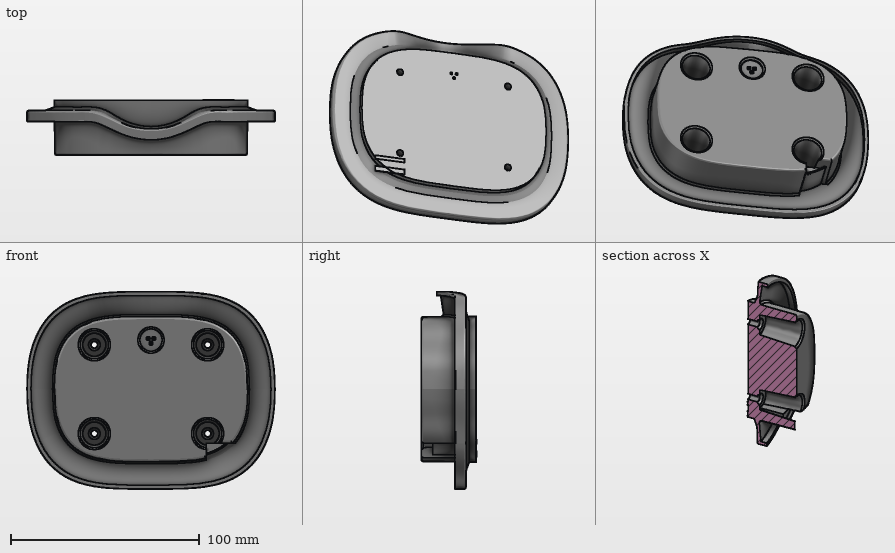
import cadquery as cq
import math


WIDTH_EXPONENT = 3.6
RIM_HEIGHT_EXPONENT = 2.3
BODY_HEIGHT_EXPONENT = 2.6
POINTS_PER_OUTLINE = 40

RIM_SPLITS = (0.0, 0.752, 1.0, 1.642)
ROOT_SPLITS = (0.0, 0.762, 1.0, 1.57)
BODY_SPLITS = (0.0, 1.0)

SELECT_MARGIN = 0.1

RIM_HALF_WIDTH = 65.65
RIM_HEIGHT_ABOVE = 51.65
RIM_HEIGHT_BELOW = 52.93

BODY_HALF_WIDTH = 51.25
BODY_HALF_HEIGHT = 38.6
BODY_DRAFT = 0.3
BODY_DEPTH = 29.1
BODY_EDGE_RADIUS = 1.2

RIM_FRONT_Y = 17.8
RIM_BACK_Y = 23.7
RIM_LIP_WIDTH = 2.1
RIM_BACK_RADIUS = 1.2
RIM_FRONT_RADIUS = 0.4
WEB_FRONT_Y_AT_RIM = 21.2
WEB_FRONT_Y_AT_BODY = 22.2
WEB_BACK_Y_AT_BODY = 26.1
ROOT_WIDTH = 4.8
ROOT_MID_WIDTH = 1.6
ROOT_MID_Y = 24.8
ROOT_BEVEL = 0.9
FLANGE_OVERLAP = 1.5

DIP_DEPTH_RIM = 9.7
DIP_DEPTH_LIP_FOOT = 10.9
DIP_DEPTH_ROOT = 10.4
DIP_HALF_WIDTH_RIM = 34.5
DIP_HALF_WIDTH_BODY = 31.5
DIP_VALLEY_SHARE = 0.65

HOLE_X = 30.0
HOLE_Z = 23.5
BORE_MOUTH_RADIUS = 7.5
BORE_FLOOR_RADIUS = 6.1
BORE_DEPTH = 22.0
BORE_EDGE_RADIUS = 1.0
SCREW_RADIUS = 1.75
SCREW_FLARE_RADIUS = 3.1

RECESS_Z = 26.0
RECESS_RADIUS = 5.9
RECESS_MOUTH_RADIUS = 6.95
RECESS_DEPTH = 1.5
PORT_RADIUS = 0.6
PORT_FLARE_RADIUS = 1.0
PORT_FLARE_DEPTH = 0.4
PORTS = ((-1.5, 0.8), (1.5, 0.8), (0.0, -1.75))

NOTCH_X = 29.3
NOTCH_Z = -28.5
SHELF_INSET = 1.6
SHELF_LIP_Y = 6.0
SHELF_FLOOR_Y = 8.0
SHELF_LIP_WIDTH = 0.6

STRIP_X = 35.7
STRIP_LENGTH = 16.2
STRIP_RAISE = 0.3
STRIPS = ((-27.8, 2.0), (-34.3, 2.8))


def dip_share(x, half_width):
    """Dip at x as a share of its full depth: a parabolic valley blending into two parabolic shoulders."""
    distance = min(abs(x) / half_width, 1.0)
    if distance < DIP_VALLEY_SHARE:
        return 1.0 - distance ** 2 / DIP_VALLEY_SHARE
    return (1.0 - distance) ** 2 / (1.0 - DIP_VALLEY_SHARE)


def outline_loop(half_width, above, below, height_exponent, y, dip_depth=0.0, dip_half_width=1.0):
    """Smooth closed spline around one outline, pulled forward by the dip over its upper half."""
    points = []
    for i in range(POINTS_PER_OUTLINE):
        angle = 2 * math.pi * i / POINTS_PER_OUTLINE - math.pi / 2
        sine = math.sin(angle)
        x = half_width * math.cos(angle)
        height_share = (1 - abs(math.cos(angle)) ** WIDTH_EXPONENT) ** (1 / height_exponent)
        z = above * height_share if sine > 0 else -below * height_share
        dip = dip_depth * dip_share(x, dip_half_width) if sine > 0 else 0.0
        points.append(cq.Vector(x, y - dip, z))
    knots = [i / POINTS_PER_OUTLINE for i in range(POINTS_PER_OUTLINE + 1)]
    return cq.Edge.makeSpline(points, periodic=True, parameters=knots)


def split_loop(loop, splits):
    """Edges of a closed outline, cut at the given quarter turns and at their mirror images in X."""
    right_half = [split / 4 for split in splits]
    left_half = [1.0 - end for end in reversed(right_half)]
    ends = right_half + [0.5] + left_half
    return [loop.trim(start, end) for start, end in zip(ends, ends[1:])]


def body_outline(y, inset):
    half_height = BODY_HALF_HEIGHT - inset
    loop = outline_loop(BODY_HALF_WIDTH - inset, half_height, half_height, BODY_HEIGHT_EXPONENT, y)
    return split_loop(loop, BODY_SPLITS)


def ruled_faces(first, second):
    return [cq.Face.makeRuledSurface(a, b) for a, b in zip(first, second)]


def solid_from(faces):
    return cq.Workplane(cq.Solid.makeSolid(cq.Shell.makeShell(faces)))


def frustum(front, back):
    """Solid between two flat outlines."""
    caps = [cq.Face.makeFromWires(cq.Wire.assembleEdges(edges)) for edges in (front, back)]
    return solid_from(ruled_faces(front, back) + caps)


def rim_section(inset, y, dip_depth=DIP_DEPTH_RIM):
    loop = outline_loop(RIM_HALF_WIDTH - inset, RIM_HEIGHT_ABOVE - inset, RIM_HEIGHT_BELOW - inset,
                        RIM_HEIGHT_EXPONENT, y, dip_depth, DIP_HALF_WIDTH_RIM)
    return split_loop(loop, RIM_SPLITS)


def root_section(outset, y):
    half_height = BODY_HALF_HEIGHT + outset
    loop = outline_loop(BODY_HALF_WIDTH + outset, half_height, half_height,
                        BODY_HEIGHT_EXPONENT, y, DIP_DEPTH_ROOT, DIP_HALF_WIDTH_BODY)
    return split_loop(loop, ROOT_SPLITS)


def make_flange():
    """Ring around the body: a sloping web, a rim with a raised front lip and a flared root behind."""
    bevel_start = WEB_FRONT_Y_AT_BODY - ROOT_BEVEL - FLANGE_OVERLAP
    sections = [
        root_section(-FLANGE_OVERLAP, bevel_start),
        root_section(ROOT_BEVEL, WEB_FRONT_Y_AT_BODY),
        rim_section(RIM_LIP_WIDTH, WEB_FRONT_Y_AT_RIM, DIP_DEPTH_LIP_FOOT),
        rim_section(RIM_LIP_WIDTH, RIM_FRONT_Y),
        rim_section(0, RIM_FRONT_Y),
        rim_section(0, RIM_BACK_Y),
        root_section(ROOT_WIDTH, RIM_BACK_Y),
        root_section(ROOT_MID_WIDTH, ROOT_MID_Y),
        root_section(-FLANGE_OVERLAP, WEB_BACK_Y_AT_BODY),
    ]
    faces = []
    for first, second in zip(sections, sections[1:] + sections[:1]):
        faces += ruled_faces(first, second)
    flange = solid_from(faces)
    flange = round_rim(flange, RIM_BACK_Y, RIM_BACK_RADIUS)
    flange = round_rim(flange, RIM_FRONT_Y, RIM_FRONT_RADIUS)
    return flange.cut(bevel_gap(), clean=False)


def bevel_gap():
    """Region that removes the root bevel of the flange where the notch has no body side."""
    gap = frustum(body_outline(BODY_EDGE_RADIUS, -ROOT_BEVEL),
                  body_outline(WEB_FRONT_Y_AT_BODY, -ROOT_BEVEL))
    return gap.intersect(notch_block(0, WEB_FRONT_Y_AT_BODY))


def round_rim(flange, y, radius):
    """Round the outer rim corner at depth y; picking the bottom edges rounds the whole smooth loop."""
    def is_lowest_rim_edge(edge):
        box = edge.BoundingBox()
        level = abs(box.ymin - y) < SELECT_MARGIN and abs(box.ymax - y) < SELECT_MARGIN
        return level and box.zmin < SELECT_MARGIN - RIM_HEIGHT_BELOW

    return flange.edges().filter(is_lowest_rim_edge).fillet(radius)


def make_body():
    """Drafted block with the corner notch and a rounded front edge."""
    body = frustum(body_outline(0, BODY_DRAFT), body_outline(BODY_DEPTH, 0))
    body = body.cut(notch_block(0, WEB_FRONT_Y_AT_BODY))
    return body.faces("<Y").edges().fillet(BODY_EDGE_RADIUS)


def notch_block(front_y, back_y):
    """Box over the lower +X corner of the body, between two depths."""
    return cq.Workplane().box(
        RIM_HALF_WIDTH, back_y - front_y, RIM_HEIGHT_BELOW, centered=False
    ).translate((NOTCH_X, front_y, NOTCH_Z - RIM_HEIGHT_BELOW))


def inset_block(front_y, inset):
    """Straight block with the body outline shrunk by an inset, reaching back to the flange."""
    return frustum(body_outline(front_y, inset), body_outline(RIM_BACK_Y, inset))


def make_shelf():
    """Block that fills the inner part of the notch, with a thin lip along its curved outer side."""
    shelf = inset_block(SHELF_LIP_Y, SHELF_INSET)
    shelf = shelf.intersect(notch_block(SHELF_LIP_Y, RIM_BACK_Y))
    pocket = inset_block(SHELF_LIP_Y, SHELF_INSET + SHELF_LIP_WIDTH)
    pocket = pocket.intersect(notch_block(SHELF_LIP_Y, SHELF_FLOOR_Y))
    return shelf.cut(pocket)


def turned_cutter(profile, x, z):
    """Cutter turned about a Y axis at (x, z) from a (radius, depth) sketch."""
    return profile.close().revolve(360, (0, 0, 0), (0, 1, 0)).translate((x, 0, z))


def mounting_hole(x, z):
    """Tapered bore with a rounded mouth, a flat floor and a flared screw hole through the back."""
    flare = SCREW_FLARE_RADIUS - SCREW_RADIUS
    profile = (
        cq.Workplane()
        .lineTo(BORE_MOUTH_RADIUS + BORE_EDGE_RADIUS, 0)
        .radiusArc((BORE_MOUTH_RADIUS, BORE_EDGE_RADIUS), -BORE_EDGE_RADIUS)
        .lineTo(BORE_FLOOR_RADIUS, BORE_DEPTH)
        .lineTo(SCREW_FLARE_RADIUS, BORE_DEPTH)
        .radiusArc((SCREW_RADIUS, BORE_DEPTH + flare), -flare)
        .lineTo(SCREW_RADIUS, BODY_DEPTH)
        .lineTo(0, BODY_DEPTH)
    )
    return turned_cutter(profile, x, z)


def round_recess():
    edge = RECESS_MOUTH_RADIUS - RECESS_RADIUS
    profile = (
        cq.Workplane()
        .lineTo(RECESS_MOUTH_RADIUS, 0)
        .radiusArc((RECESS_RADIUS, edge), -edge)
        .lineTo(RECESS_RADIUS, RECESS_DEPTH)
        .lineTo(0, RECESS_DEPTH)
    )
    return turned_cutter(profile, 0, RECESS_Z)


def port(x, z):
    """Small through hole with a chamfered mouth in the floor of the round recess."""
    profile = (
        cq.Workplane()
        .lineTo(PORT_FLARE_RADIUS, 0)
        .lineTo(PORT_FLARE_RADIUS, RECESS_DEPTH)
        .lineTo(PORT_RADIUS, RECESS_DEPTH + PORT_FLARE_DEPTH)
        .lineTo(PORT_RADIUS, BODY_DEPTH)
        .lineTo(0, BODY_DEPTH)
    )
    return turned_cutter(profile, x, RECESS_Z + z)


def raised_strip(z, width):
    """Thin bar, half sunk into the back face."""
    return cq.Workplane().box(
        STRIP_LENGTH, 2 * STRIP_RAISE, width
    ).translate((STRIP_X, BODY_DEPTH, z))


def make_openings():
    cutters = [round_recess()]
    for x in (-HOLE_X, HOLE_X):
        for z in (-HOLE_Z, HOLE_Z):
            cutters.append(mounting_hole(x, z))
    for x, z in PORTS:
        cutters.append(port(x, z))
    return [cutter.val() for cutter in cutters]


def make_additions():
    additions = [make_flange(), make_shelf()]
    for z, width in STRIPS:
        additions.append(raised_strip(z, width))
    return [addition.val() for addition in additions]


body = make_body().val().cut(*make_openings())
result = cq.Workplane(body.fuse(*make_additions()).Solids()[0])